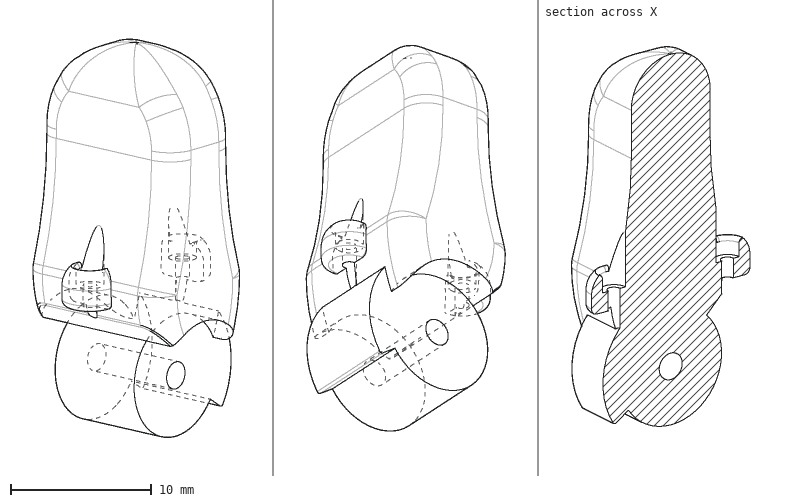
import cadquery as cq
import math

overall_height = 28.38
overall_depth = 14.0

wheel_diameter = 9.0
wheel_width = 7.5
axle_diameter = 2.0
sector_radius = 6.0
sector_start_angle = -34.0
sector_end_angle = 60.0
sector_tip_fillet = 0.2

body_width = 13.0
neck_depth = 6.98
bulge_depth = 10.0
bulge_z = 7.0
skirt_end_z = 1.42
flank_radius = 30.0
back_skirt_radius = 13.62
front_skirt_radius = 9.0
edge_rounding = 2.0
relief_angle = 135.0
relief_edge_chamfer = 0.1

ring_bottom_z = 5.48
ring_top_z = 8.4
ring_crown_z = 7.1
ring_crown_radius = 1.75
ring_lip_radius = 1.33
ring_bottom_fillet = 0.5
ring_root_length = 0.85
guide_hole_diameter = 1.0
guide_bore_diameter = 2.0
guide_bore_floor_z = 7.0

wheel_radius = wheel_diameter / 2
top_z = overall_height - wheel_radius
ring_offset = bulge_depth / 2
ring_radius = overall_depth / 2 - ring_offset
bulge_corner_radius = ring_radius


def polar(radius, degrees):
    """Point (y, z) at a distance and angle from the wheel axis."""
    angle = math.radians(degrees)
    return radius * math.cos(angle), radius * math.sin(angle)


def side_profile():
    """Neck with a round top, flaring along a concave flank to a rounded bulge and a curved skirt."""
    neck = neck_depth / 2
    bulge = bulge_depth / 2
    dome_z = top_z - neck
    corner_radius = bulge_corner_radius
    corner_y = bulge - corner_radius

    flank_y = neck + flank_radius
    flank_span = math.sqrt((flank_radius + corner_radius) ** 2 - (flank_y - corner_y) ** 2)
    flank_z = bulge_z + flank_span
    flare = math.asin(flank_span / (flank_radius + corner_radius))

    def on_corner(angle):
        return corner_y + corner_radius * math.cos(angle), bulge_z + corner_radius * math.sin(angle)

    def on_flank(angle):
        return flank_y - flank_radius * math.cos(angle), flank_z - flank_radius * math.sin(angle)

    flank_end = on_corner(flare)
    flank_mid = on_flank(flare / 2)
    corner_mid = on_corner(flare / 2)

    def skirt(radius):
        span = math.asin((bulge_z - skirt_end_z) / radius)

        def on_skirt(angle):
            return bulge - radius + radius * math.cos(angle), bulge_z - radius * math.sin(angle)

        return on_skirt(span / 2), on_skirt(span)

    back_mid, back_end = skirt(back_skirt_radius)
    front_mid, front_end = skirt(front_skirt_radius)

    def opposite(point):
        return -point[0], point[1]

    return (
        cq.Workplane("YZ")
        .moveTo(*back_end)
        .threePointArc(back_mid, (bulge, bulge_z))
        .threePointArc(corner_mid, flank_end)
        .threePointArc(flank_mid, (neck, flank_z))
        .lineTo(neck, dome_z)
        .threePointArc((0, top_z), (-neck, dome_z))
        .lineTo(-neck, flank_z)
        .threePointArc(opposite(flank_mid), opposite(flank_end))
        .threePointArc(opposite(corner_mid), (-bulge, bulge_z))
        .threePointArc(opposite(front_mid), opposite(front_end))
        .close()
    )


def front_profile():
    """Straight sides under a semicircular top."""
    half_width = body_width / 2
    dome_z = top_z - half_width
    return (
        cq.Workplane("XZ")
        .moveTo(-half_width, skirt_end_z)
        .lineTo(half_width, skirt_end_z)
        .lineTo(half_width, dome_z)
        .threePointArc((0, top_z), (-half_width, dome_z))
        .close()
    )


def body():
    """Common part of the two crossed outlines."""
    flanks = side_profile().extrude(body_width / 2, both=True)
    return flanks.intersect(front_profile().extrude(overall_depth / 2, both=True))


def rounded_body():
    """Body with all edges rounded except those of its hidden bottom, which the wheel cut removes."""
    return body().edges("not <Z").fillet(edge_rounding)


def relieved_body():
    """Body cut out for the wheel, and cut off in front along a sloped plane through the wheel axis.

    The edge around the sloped face is broken by a narrow chamfer.
    """
    reach = overall_depth
    plane_end = polar(reach, relief_angle)
    relief_normal = cq.Vector(0, plane_end[1], -plane_end[0])
    relief = (
        cq.Workplane("YZ")
        .polyline([(0, 0), plane_end, (-reach, -reach), (0, -reach)])
        .close()
        .extrude(body_width, both=True)
    )
    clearance = cq.Workplane("YZ").circle(wheel_radius).extrude(body_width, both=True)
    return (
        rounded_body()
        .cut(relief)
        .cut(clearance)
        .faces(cq.selectors.ParallelDirSelector(relief_normal))
        .edges("not <Z")
        .chamfer(relief_edge_chamfer)
    )


def ring_profile():
    """Half section of the guide ring, from its axis outwards."""
    bore_radius = guide_bore_diameter / 2
    mouth_rounding = ring_lip_radius - bore_radius
    diagonal = ring_bottom_fillet * math.sqrt(0.5)
    fillet_mid = (
        ring_radius - ring_bottom_fillet + diagonal,
        ring_bottom_z + ring_bottom_fillet - diagonal,
    )
    return (
        cq.Workplane("XZ")
        .moveTo(0, ring_bottom_z)
        .lineTo(ring_radius - ring_bottom_fillet, ring_bottom_z)
        .threePointArc(fillet_mid, (ring_radius, ring_bottom_z + ring_bottom_fillet))
        .lineTo(ring_radius, ring_crown_z)
        .radiusArc((ring_lip_radius, ring_top_z), -ring_crown_radius)
        .radiusArc((bore_radius, ring_top_z - mouth_rounding), -mouth_rounding)
        .lineTo(0, ring_top_z - mouth_rounding)
        .close()
    )


def guide_ring():
    """Half round ring on the -Y side of its axis, with straight roots that run into the body."""
    half_round = ring_profile().revolve(180, (0, 0), (0, -1))
    root = ring_profile().extrude(-ring_root_length)
    return half_round.union(root).union(root.mirror("YZ"))


def guide_hole():
    """Stepped vertical hole: bore open to the top, narrow hole open to the bottom."""
    narrow = cq.Workplane("XY").circle(guide_hole_diameter / 2).extrude(overall_height)
    bore = cq.Workplane("XY").circle(guide_bore_diameter / 2).extrude(overall_height)
    return narrow.union(bore.translate((0, 0, guide_bore_floor_z)))


def wheel():
    """Disc with a larger sector on its +Y side, bored along the axle."""
    disc = cq.Workplane("YZ").circle(wheel_radius).extrude(wheel_width / 2, both=True)
    mid_angle = (sector_start_angle + sector_end_angle) / 2
    sector = (
        cq.Workplane("YZ")
        .lineTo(*polar(sector_radius, sector_start_angle))
        .threePointArc(polar(sector_radius, mid_angle), polar(sector_radius, sector_end_angle))
        .close()
        .extrude(wheel_width / 2, both=True)
        .edges("|X and <Z").fillet(sector_tip_fillet)
    )
    axle_hole = cq.Workplane("YZ").circle(axle_diameter / 2).extrude(wheel_width, both=True)
    return disc.union(sector).cut(axle_hole)


def body_with_guides():
    guided = relieved_body()

    def placed(shape, turn):
        return shape.translate((0, -ring_offset, 0)).rotate((0, 0, 0), (0, 0, 1), turn)

    for turn in (0, 180):
        guided = guided.union(placed(guide_ring(), turn)).cut(placed(guide_hole(), turn))
    return guided


result = body_with_guides().union(wheel())